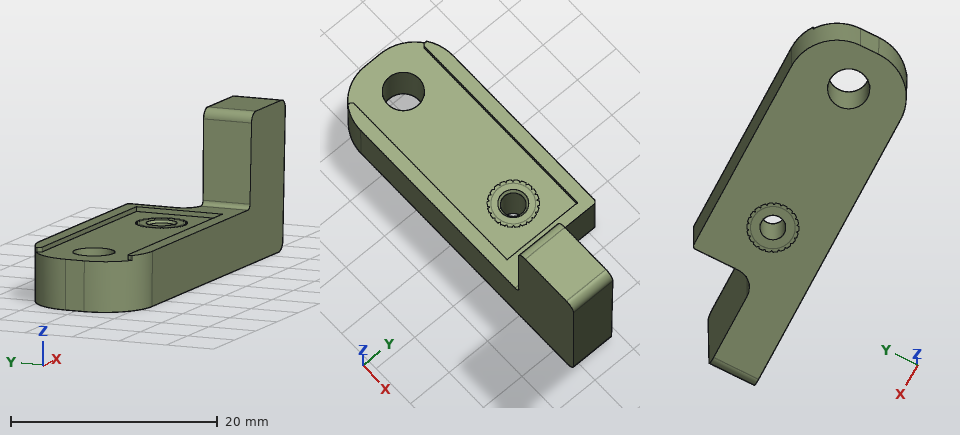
import cadquery as cq
import math

length = 36.1
height = 15.0

plate_height = 5.5
plate_width = 12.0
plate_length = 25.9
nose_radius = 5.0
plate_corner_radius = 0.35

finger_start = 28.0
finger_width = 5.0
finger_radius = 1.0
root_radius = 0.5
neck_radius = 2.0
lean = math.tan(math.radians(0.8))

tray_depth = 0.47
tray_width = 9.15
tray_end = 24.7
tray_mouth = 2.13
tray_lip_radius = 0.35

pivot_x = 4.48
pivot_diameter = 4.08
insert_x = 20.47

tooth_count = 22
tooth_tip_radius = 2.53
tooth_root_radius = 2.35
tooth_fraction = 0.6
insert_core_radius = 2.15
bore_diameter = 2.5
bore_chamfer = 0.25

floor_z = plate_height - tray_depth
half_width = plate_width / 2
finger_inner_y = finger_width - half_width
finger_end = length - lean * (height - finger_radius - plate_height)


def leaning(position, z):
    """Place of a leaning face at height z, given its place at the plate top."""
    return position + lean * (z - plate_height)


def fillet_near(body, direction, point, radius):
    """Round the edge along the given direction that lies nearest to the point."""
    edge = body.edges(direction).edges(cq.selectors.NearestToPointSelector(point))
    return edge.fillet(radius)


def make_side_blank():
    """L-shaped side outline with rounded corners, wider than the part on both sides."""
    blank = (
        cq.Workplane("XZ")
        .polyline([
            (0, 0),
            (leaning(finger_end, 0), 0),
            (leaning(finger_end, height), height),
            (leaning(finger_start, height), height),
            (finger_start, plate_height),
            (0, plate_height),
        ])
        .close()
        .extrude(plate_width, both=True)
    )
    outer_corners = [
        (leaning(finger_end, 0), 0, 0),
        (leaning(finger_end, height), 0, height),
        (leaning(finger_start, height), 0, height),
    ]
    for corner in outer_corners:
        blank = fillet_near(blank, "|Y", corner, finger_radius)
    return fillet_near(blank, "|Y", (finger_start, 0, plate_height), root_radius)


def make_cross_section():
    """Full cross-section along X, with the -Y side leaning outwards."""
    return (
        cq.Workplane("YZ")
        .polyline([
            (-leaning(half_width, 0), 0),
            (half_width, 0),
            (half_width, height),
            (-leaning(half_width, height), height),
        ])
        .close()
        .extrude(length)
    )


def make_arm():
    """Plate and finger, with the plan corners rounded."""
    beside_finger = (
        cq.Workplane("XY", origin=(plate_length, finger_inner_y, 0))
        .rect(length - plate_length, half_width - finger_inner_y, centered=False)
        .extrude(height)
    )
    arm = make_side_blank().intersect(make_cross_section()).cut(beside_finger)
    mid_z = plate_height / 2
    arm = fillet_near(arm, "|Z", (plate_length, finger_inner_y, mid_z), neck_radius)
    arm = fillet_near(arm, "|Z", (plate_length, half_width, mid_z), plate_corner_radius)
    for y in (-half_width, half_width):
        nose_edge = arm.faces("<X").edges(cq.selectors.NearestToPointSelector((0, y, mid_z)))
        arm = nose_edge.fillet(nose_radius)
    return arm


def make_tray():
    """Tray volume, reaching past the nose: a channel that widens to the full plate at its mouth."""
    channel = (
        cq.Workplane("XY", origin=(0, 0, floor_z))
        .rect(2 * tray_end, tray_width)
        .extrude(tray_depth)
    )
    mouth = (
        cq.Workplane("XY", origin=(0, 0, floor_z))
        .rect(2 * tray_mouth, 2 * plate_width)
        .extrude(tray_depth)
    )
    tray = channel.union(mouth)
    for y in (-tray_width / 2, tray_width / 2):
        lip = (tray_mouth, y, floor_z + tray_depth / 2)
        tray = fillet_near(tray, "|Z", lip, tray_lip_radius)
    return tray


def make_knurl():
    """Solid cylinder with V-grooved teeth, from the bottom of the plate to the tray floor."""
    pitch = 2 * math.pi / tooth_count
    half_tip = pitch * tooth_fraction / 2
    outline = []
    for index in range(tooth_count):
        centre = index * pitch
        corners = [
            (tooth_root_radius, centre - pitch / 2),
            (tooth_tip_radius, centre - half_tip),
            (tooth_tip_radius, centre + half_tip),
        ]
        for radius, angle in corners:
            outline.append((radius * math.cos(angle), radius * math.sin(angle)))
    return (
        cq.Workplane("XY", origin=(insert_x, 0, 0))
        .polyline(outline)
        .close()
        .extrude(floor_z)
    )


def make_insert():
    """Knurled sleeve around a round core, with a through bore chamfered at the top."""
    core = cq.Workplane("XY", origin=(insert_x, 0, 0)).circle(insert_core_radius).extrude(floor_z)
    insert = make_knurl().cut(core).union(core, clean=False)
    bore = cq.Workplane("XY", origin=(insert_x, 0, 0)).circle(bore_diameter / 2).extrude(floor_z)
    insert = insert.cut(bore, clean=False)
    bore_rim = cq.selectors.RadiusNthSelector(0)
    return insert.faces(">Z").edges("%CIRCLE").edges(bore_rim).chamfer(bore_chamfer)


def make_housing():
    """Arm with its tray, pivot hole and the pocket that holds the insert."""
    pivot_hole = (
        cq.Workplane("XY", origin=(pivot_x, 0, 0))
        .circle(pivot_diameter / 2)
        .extrude(plate_height)
    )
    return make_arm().cut(make_tray()).cut(pivot_hole).cut(make_knurl())


housing = make_housing()
insert = make_insert()

result = cq.Compound.makeCompound([housing.solids().val(), insert.solids().val()])